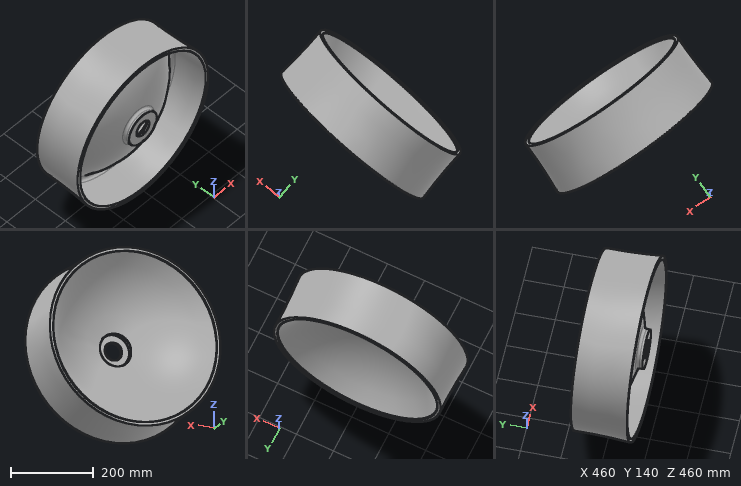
import cadquery as cq
import math

width = 140.0
front_radius = 230.0
middle_radius = 225.8
rear_radius = 225.5
rim_thickness = 9.0

web_thickness = 7.5
dome_radius = 262.0
dome_apex = 9.5
rim_fillet = 8.7

hub_radius = 48.7
bore_radius = 22.5
hub_fillet = 8.5

dome_center = dome_apex + dome_radius
back_dome_radius = dome_radius - web_thickness
hub_recess_radius = hub_radius - web_thickness


def dome_depth(radius, sphere_radius):
    """Axial depth of a dome sphere at a given distance from the axis."""
    return dome_center - math.sqrt(sphere_radius**2 - radius**2)


def dome_point(radius, sphere_radius):
    return (radius, dome_depth(radius, sphere_radius))


rim = (
    cq.Workplane("XY")
    .moveTo(front_radius, 0)
    .threePointArc((middle_radius, width / 2), (rear_radius, width))
    .lineTo(rear_radius - rim_thickness, width)
    .threePointArc((middle_radius - rim_thickness, width / 2), (front_radius - rim_thickness, 0))
    .close()
    .revolve(360, (0, 0, 0), (0, 1, 0))
)

shell_outer_radius = middle_radius - rim_thickness / 2
back_edge_radius = math.sqrt(back_dome_radius**2 - (dome_center - width) ** 2)
hub_edge = dome_point(hub_radius, dome_radius)
recess_edge = dome_point(hub_recess_radius, back_dome_radius)
dome_edge = dome_point(shell_outer_radius, dome_radius)
dome_middle = dome_point((hub_radius + shell_outer_radius) / 2, dome_radius)
back_middle = dome_point((hub_recess_radius + back_edge_radius) / 2, back_dome_radius)

web = (
    cq.Workplane("XY")
    .moveTo(bore_radius, 0)
    .lineTo(hub_radius, 0)
    .lineTo(*hub_edge)
    .threePointArc(dome_middle, dome_edge)
    .lineTo(shell_outer_radius, width)
    .lineTo(back_edge_radius, width)
    .threePointArc(back_middle, recess_edge)
    .lineTo(hub_recess_radius, web_thickness)
    .lineTo(bore_radius, web_thickness)
    .close()
    .revolve(360, (0, 0, 0), (0, 1, 0))
)

result = rim.union(web)


def blend_corner(body, radius, fillet):
    """Round the concave corner circle where the dome's front meets a wall of this radius."""
    depth = dome_depth(radius, dome_radius)
    return body.edges(cq.selectors.NearestToPointSelector((0, depth, 0))).fillet(fillet)


result = blend_corner(result, hub_radius, hub_fillet)
result = blend_corner(result, rear_radius - rim_thickness, rim_fillet)